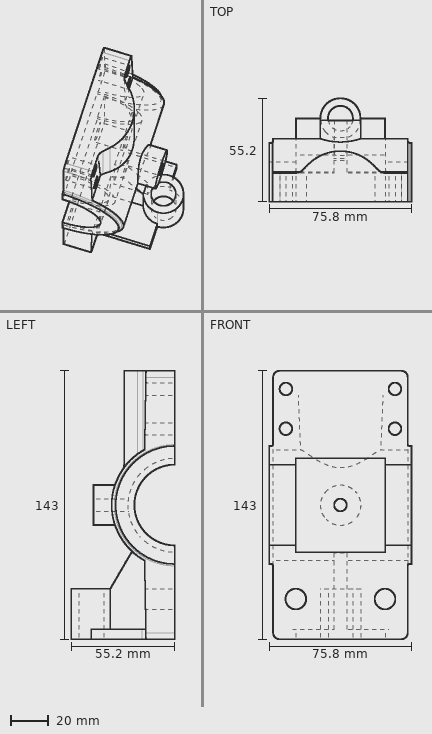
import cadquery as cq
import math

plate_width = 71.8
plate_height = 143
plate_end_thickness = 15.3
plate_draft = 1.0
plate_corner_radius = 3.6

barrel_radius = 33.6
collar_radius = 31.5
collar_length = 75.8
collar_root_fillet = 0.9
bore_radius = 21.5
recess_radius = 25.0
recess_length = 47.5

boss_radius = 10.7
boss_back = 43.3
small_hole_radius = 3.3

bulge_back = 27.0
bulge_radius = 24.3
bulge_flank_angle = 45
root_fillet = 5.7

shelf_width = 47.5
shelf_thickness = 5.5
shelf_fillet = 2.3
tube_radius = 10.7
tube_bore_radius = 6.6
tube_height = 27.0
tube_center_y = 44.5
rib_thickness = 6.9
rib_upper_y = 23.2
rib_upper_z = -25.3

small_hole_x = 29.0
small_hole_rows = (40.6, 61.8)
large_hole_radius = 5.5
large_hole_x = 23.7
large_hole_z = -50

plate_bottom = -plate_height / 2
plate_top = plate_height / 2
through_depth = 71.5


def cylinder_x(radius, length):
    """Cylinder about the bore axis, centred at X = 0."""
    return cq.Workplane("YZ").circle(radius).extrude(length / 2, both=True)


def cylinder_y(x, z, radius, length):
    """Cylinder running back from the split plane."""
    return cq.Workplane("XZ").center(x, z).circle(radius).extrude(-length)


def make_plate():
    rise = plate_top * math.tan(math.radians(plate_draft))
    middle_thickness = plate_end_thickness + rise
    plate = (
        cq.Workplane("YZ")
        .moveTo(0, plate_bottom)
        .lineTo(plate_end_thickness, plate_bottom)
        .lineTo(middle_thickness, 0)
        .lineTo(plate_end_thickness, plate_top)
        .lineTo(0, plate_top)
        .close()
        .extrude(plate_width / 2, both=True)
    )
    rounded_outline = (
        cq.Workplane("XZ")
        .rect(plate_width, plate_height)
        .extrude(-through_depth)
        .edges("|Y")
        .fillet(plate_corner_radius)
    )
    return plate.intersect(rounded_outline)


def make_collars():
    """Full round with a concave fillet where each collar meets the plate side."""
    half = collar_length / 2
    side = plate_width / 2
    fillet_end = side + collar_root_fillet
    root_radius = collar_radius + collar_root_fillet
    bend = collar_root_fillet * (1 - math.sqrt(0.5))
    return (
        cq.Workplane("XY")
        .moveTo(-half, 0)
        .lineTo(-half, collar_radius)
        .lineTo(-fillet_end, collar_radius)
        .threePointArc((-side - bend, collar_radius + bend), (-side, root_radius))
        .lineTo(side, root_radius)
        .threePointArc((side + bend, collar_radius + bend), (fillet_end, collar_radius))
        .lineTo(half, collar_radius)
        .lineTo(half, 0)
        .close()
        .revolve(360, (0, 0, 0), (1, 0, 0))
    )


def make_bulge():
    """Arc with tangent straight flanks, blended into the plate by root fillets."""
    angle = math.radians(bulge_flank_angle)
    center_y = bulge_back - bulge_radius
    tangent_x = bulge_radius * math.sin(angle)
    tangent_y = center_y + bulge_radius * math.cos(angle)
    root_x = tangent_x + (tangent_y - plate_end_thickness) / math.tan(angle)
    fillet_setback = root_fillet * math.tan(angle / 2)
    fillet_end_x = root_x + fillet_setback
    flank_x = root_x - fillet_setback * math.cos(angle)
    flank_y = plate_end_thickness + fillet_setback * math.sin(angle)
    fillet_mid_x = fillet_end_x - root_fillet * math.sin(angle / 2)
    fillet_mid_y = plate_end_thickness + root_fillet * (1 - math.cos(angle / 2))
    return (
        cq.Workplane("XY")
        .moveTo(-fillet_end_x, 0)
        .lineTo(-fillet_end_x, plate_end_thickness)
        .threePointArc((-fillet_mid_x, fillet_mid_y), (-flank_x, flank_y))
        .lineTo(-tangent_x, tangent_y)
        .threePointArc((0, bulge_back), (tangent_x, tangent_y))
        .lineTo(flank_x, flank_y)
        .threePointArc((fillet_mid_x, fillet_mid_y), (fillet_end_x, plate_end_thickness))
        .lineTo(fillet_end_x, 0)
        .close()
        .extrude(plate_top)
    )


def make_shelf():
    half = shelf_width / 2
    fillet_y = plate_end_thickness + shelf_fillet
    fillet_x = half + shelf_fillet
    bend = shelf_fillet * (1 - math.sqrt(0.5))
    return (
        cq.Workplane("XY", origin=(0, 0, plate_bottom))
        .moveTo(-fillet_x, 0)
        .lineTo(-fillet_x, plate_end_thickness)
        .threePointArc((-half - bend, plate_end_thickness + bend), (-half, fillet_y))
        .lineTo(-half, tube_center_y)
        .lineTo(half, tube_center_y)
        .lineTo(half, fillet_y)
        .threePointArc((half + bend, plate_end_thickness + bend), (fillet_x, plate_end_thickness))
        .lineTo(fillet_x, 0)
        .close()
        .extrude(shelf_thickness)
    )


def upright_cylinder(radius):
    return cq.Workplane("XY", origin=(0, tube_center_y, plate_bottom)).circle(radius).extrude(tube_height)


def make_rib():
    tube_top = plate_bottom + tube_height
    half = rib_thickness / 2
    tube_contact_y = tube_center_y - math.sqrt(tube_radius**2 - half**2)
    return (
        cq.Workplane("YZ")
        .moveTo(0, plate_bottom)
        .lineTo(tube_center_y, plate_bottom)
        .lineTo(tube_center_y, tube_top)
        .lineTo(tube_contact_y, tube_top)
        .lineTo(rib_upper_y, rib_upper_z)
        .lineTo(0, rib_upper_z)
        .close()
        .extrude(half, both=True)
    )


body = make_plate()
body = body.union(cylinder_x(barrel_radius, plate_width))
body = body.union(make_collars())
body = body.union(make_bulge())
body = body.union(cylinder_y(0, 0, boss_radius, boss_back))
body = body.union(make_shelf())
body = body.union(make_rib())
body = body.union(upright_cylinder(tube_radius))

behind_split = cq.Workplane("XZ").rect(collar_length * 2, plate_height * 2).extrude(-through_depth)
body = body.intersect(behind_split)

body = body.cut(cylinder_x(bore_radius, collar_length))
body = body.cut(cylinder_x(recess_radius, recess_length))
body = body.cut(upright_cylinder(tube_bore_radius))

body = body.cut(cylinder_y(0, 0, small_hole_radius, through_depth))
for side in (-1, 1):
    body = body.cut(cylinder_y(side * large_hole_x, large_hole_z, large_hole_radius, through_depth))
    for row_z in small_hole_rows:
        body = body.cut(cylinder_y(side * small_hole_x, row_z, small_hole_radius, through_depth))

result = body